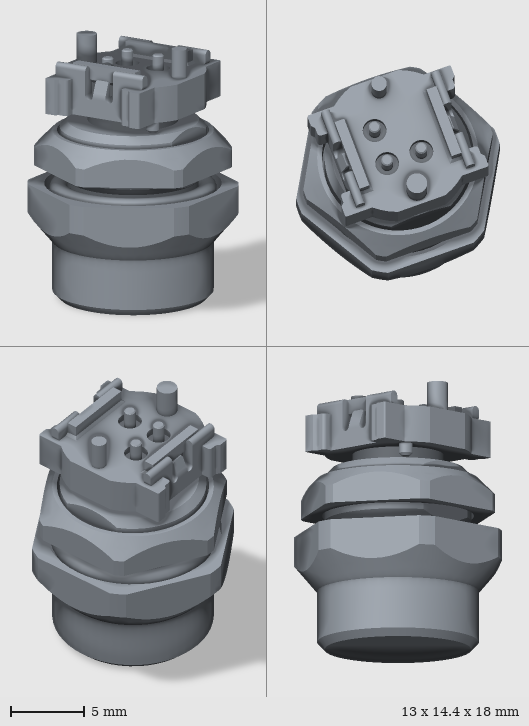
import cadquery as cq
import math

total_height = 18.0
flange_bottom_z = 4.0
flange_corner_z = 6.0
flange_top_z = 8.0
thread_start_z = 8.85
barrel_top_z = 12.5
block_bottom_z = 13.5
block_top_z = 16.0
clip_top_z = 16.95

collar_radius = 5.5
collar_chamfer = 0.5
flange_across_flats = 13.0
flange_corner_radius = 7.2
barrel_radius = 5.0
barrel_flat_x = 4.52
barrel_chamfer = 0.5
neck_below_thread_radius = 4.48
groove_outer_radius = 6.05

seal_section_radius = 0.61
seal_protrusion = 0.27
seal_mean_radius = neck_below_thread_radius + seal_section_radius
seal_z = flange_top_z + seal_protrusion - seal_section_radius
seal_groove_floor_z = seal_z - seal_section_radius

nut_across_flats = 12.02
nut_corner_radius = 6.75
nut_bottom_z = 9.25
nut_height = 2.5
nut_top_radius = 5.5
nut_bore_clearance = 0.18
nut_top_z = nut_bottom_z + nut_height

neck_radius = 3.1
block_radius = 5.0
block_half_width = 4.7
tab_half_width = 3.8
tab_half_length = 5.2
tab_corner_radius = 0.13
step_half_length = 4.99
step_outer_x = 3.02
step_inner_x = 2.79
notch_half_width = 2.16
notch_corner_radius = 0.23

clip_outer_y = 4.3
clip_thickness = 0.61
clip_half_width = 3.51
clip_end_radius = 0.36
clip_end_tangent_z = 16.24
clip_inner_y = clip_outer_y - clip_thickness

ridge_inner_y = 2.99
ridge_half_width = 2.5
ridge_foot_flare = 0.22
ridge_foot_height = 0.16

window_half_width = 1.12
window_bottom_z = 14.69
tongue_half_width = 0.5
tongue_top_z = 16.07
tongue_corner_radius = 0.18
tongue_back_drop = 0.13
tongue_crest_y = 3.89
tongue_knee_y = 4.2
tongue_knee_z = 15.28
tongue_root_z = 14.81
undercut_top_z = 15.97
undercut_depth = 0.23

peg_radius = 0.47
peg_bottom_z = 12.65
peg_chamfer = 0.18
peg_positions = [(-3.28, 2.61), (3.28, -2.61)]

post_x = 3.75
left_post_radius = 0.7
right_post_radius = 0.52

contact_radius = 0.4
contact_chamfer = 0.09
contact_offset = 1.25
contact_positions = [(-contact_offset, contact_offset), (contact_offset, contact_offset),
                     (-contact_offset, -contact_offset)]
contact_well_radius = 0.81
contact_well_depth = 0.5
contact_well_floor_z = block_top_z - contact_well_depth
contact_bottom_z = block_bottom_z


def hexagon_prism(across_flats, bottom_z, top_z):
    """Hexagonal prism with two of its flats facing -X and +X."""
    half_sector = 30
    across_corners = across_flats / math.cos(math.radians(half_sector))
    prism = cq.Workplane("XY").polygon(6, across_corners).extrude(top_z - bottom_z)
    return prism.rotate((0, 0, 0), (0, 0, 1), half_sector).translate((0, 0, bottom_z))


def turned(points):
    """Solid of revolution about Z from (radius, height) points."""
    return cq.Workplane("XZ").polyline(points).close().revolve(360, (0, 0, 0), (0, 1, 0))


def cylinder(radius, bottom_z, top_z, x=0, y=0):
    return cq.Workplane("XY", origin=(x, y, bottom_z)).circle(radius).extrude(top_z - bottom_z)


def make_seal_ring():
    section = cq.Workplane("XZ").center(seal_mean_radius, seal_z).circle(seal_section_radius)
    return section.revolve(360, (-seal_mean_radius, 0, 0), (-seal_mean_radius, 1, 0))


def make_flange():
    envelope = turned([
        (0, flange_bottom_z),
        (collar_radius, flange_bottom_z),
        (flange_corner_radius, flange_corner_z),
        (flange_corner_radius, flange_top_z),
        (0, flange_top_z),
    ])
    return hexagon_prism(flange_across_flats, flange_bottom_z, flange_top_z).intersect(envelope)


def make_barrel():
    relief = barrel_radius - neck_below_thread_radius
    barrel = turned([
        (0, seal_groove_floor_z),
        (neck_below_thread_radius, seal_groove_floor_z),
        (neck_below_thread_radius, thread_start_z - relief),
        (barrel_radius, thread_start_z),
        (barrel_radius, barrel_top_z - barrel_chamfer),
        (barrel_radius - barrel_chamfer, barrel_top_z),
        (0, barrel_top_z),
    ])
    between_flats = cq.Workplane("XY").box(2 * barrel_flat_x, 2 * barrel_radius, 2 * total_height)
    return barrel.intersect(between_flats)


def make_housing():
    collar = cylinder(collar_radius, 0, flange_bottom_z).faces("<Z").chamfer(collar_chamfer)
    groove = cylinder(groove_outer_radius, seal_groove_floor_z, flange_top_z)
    return collar.union(make_flange()).cut(groove).union(make_barrel())


def make_nut():
    """Hexagonal nut with a conical top and a plain bore."""
    cone_height = nut_corner_radius - nut_top_radius
    envelope = turned([
        (0, nut_bottom_z),
        (nut_corner_radius, nut_bottom_z),
        (nut_corner_radius, nut_top_z - cone_height),
        (nut_top_radius, nut_top_z),
        (0, nut_top_z),
    ])
    bore = cylinder(barrel_radius + nut_bore_clearance, nut_bottom_z, nut_top_z)
    hexagon = hexagon_prism(nut_across_flats, nut_bottom_z, nut_top_z)
    return hexagon.intersect(envelope).cut(bore)


def make_block():
    """Plate with side flats, four corner tabs and a notch between the tabs at each end."""
    height = block_top_z - block_bottom_z
    base = cq.Workplane("XY", origin=(0, 0, block_bottom_z))
    body = base.circle(block_radius).extrude(height)
    body = body.intersect(base.rect(2 * block_half_width, 2 * block_radius).extrude(height))
    tabs = base.rect(2 * tab_half_width, 2 * tab_half_length).extrude(height)
    block = body.union(tabs.edges("|Z").fillet(tab_corner_radius))
    notch = (
        base.moveTo(-step_outer_x, -tab_half_length)
        .lineTo(-step_inner_x, -step_half_length)
        .lineTo(-notch_half_width - notch_corner_radius, -step_half_length)
        .radiusArc((-notch_half_width, -step_half_length + notch_corner_radius), -notch_corner_radius)
        .lineTo(-notch_half_width, -clip_outer_y)
        .lineTo(notch_half_width, -clip_outer_y)
        .lineTo(notch_half_width, -step_half_length + notch_corner_radius)
        .radiusArc((notch_half_width + notch_corner_radius, -step_half_length), -notch_corner_radius)
        .lineTo(step_inner_x, -step_half_length)
        .lineTo(step_outer_x, -tab_half_length)
        .close()
        .extrude(height)
    )
    return block.cut(notch).cut(notch.mirror("XZ"))


def make_clip_bar():
    """Upright bar with a fully rounded top and rounded lower ends that run into the block."""
    bottom_z = clip_end_tangent_z - clip_end_radius
    section = (
        cq.Workplane("YZ", origin=(-clip_half_width, 0, 0))
        .moveTo(-clip_outer_y, bottom_z)
        .lineTo(-clip_inner_y, bottom_z)
        .lineTo(-clip_inner_y, clip_top_z - clip_thickness / 2)
        .threePointArc(
            (-(clip_outer_y + clip_inner_y) / 2, clip_top_z),
            (-clip_outer_y, clip_top_z - clip_thickness / 2),
        )
        .close()
        .extrude(2 * clip_half_width)
    )
    return section.edges("|Y and <Z").fillet(clip_end_radius)


def make_ridge():
    """Backing rib behind the clip bar, with a flared foot."""
    depth = clip_inner_y - ridge_inner_y
    middle_y = -(clip_inner_y + ridge_inner_y) / 2
    base = cq.Workplane("XY", origin=(0, middle_y, block_top_z))
    rib = base.rect(2 * ridge_half_width, depth).extrude(clip_top_z - block_top_z)
    flare_angle = math.degrees(math.atan(ridge_foot_flare / ridge_foot_height))
    foot = base.rect(2 * (ridge_half_width + ridge_foot_flare), depth + 2 * ridge_foot_flare)
    return rib.union(foot.extrude(ridge_foot_height, taper=flare_angle))


def make_window():
    """Opening through the clip bar with an undercut below the ridge."""
    back_y = clip_inner_y - undercut_depth
    depth = clip_outer_y - back_y
    opening = (
        cq.Workplane("YZ", origin=(-window_half_width, 0, 0))
        .moveTo(-clip_outer_y, window_bottom_z)
        .lineTo(-back_y, window_bottom_z)
        .lineTo(-back_y, undercut_top_z - undercut_depth)
        .lineTo(-clip_inner_y, undercut_top_z)
        .lineTo(-clip_inner_y, clip_top_z)
        .lineTo(-clip_outer_y, clip_top_z)
        .close()
        .extrude(2 * window_half_width)
    )
    round_radius = (window_half_width - tongue_half_width) / 2
    round_z = window_bottom_z + round_radius
    face = cq.Workplane("XZ", origin=(0, -back_y, 0))
    outline = face.center(0, (round_z + clip_top_z) / 2)
    outline = outline.rect(2 * window_half_width, clip_top_z - round_z).extrude(depth)
    tongue_space = face.center(0, (window_bottom_z + round_z) / 2)
    tongue_space = tongue_space.rect(2 * tongue_half_width, round_radius).extrude(depth)
    outline = outline.union(tongue_space)
    for side in (-1, 1):
        round_x = side * (tongue_half_width + round_radius)
        end = face.center(round_x, round_z).circle(round_radius).extrude(depth)
        outline = outline.union(end)
    return opening.intersect(outline)


def make_tongue():
    """Latch tongue with a sloping front, standing in the window."""
    profile = (
        cq.Workplane("YZ", origin=(-tongue_half_width, 0, 0))
        .moveTo(-clip_inner_y, window_bottom_z)
        .lineTo(-clip_outer_y, window_bottom_z)
        .lineTo(-clip_outer_y, tongue_root_z)
        .tangentArcPoint((-tongue_knee_y, tongue_knee_z), relative=False)
        .lineTo(-tongue_crest_y, tongue_top_z)
        .lineTo(-clip_inner_y, tongue_top_z - tongue_back_drop)
        .close()
        .extrude(2 * tongue_half_width)
    )
    height = tongue_top_z - window_bottom_z
    outline = (
        cq.Workplane("XY", origin=(0, -clip_outer_y, window_bottom_z))
        .rect(2 * tongue_half_width, 2 * clip_outer_y)
        .extrude(height)
        .edges("|Y and >Z")
        .fillet(tongue_corner_radius)
    )
    return profile.intersect(outline)


def make_peg(x, y):
    return cylinder(peg_radius, peg_bottom_z, block_bottom_z, x, y).faces("<Z").chamfer(peg_chamfer)


def make_contact(x, y):
    pin = cylinder(contact_radius, contact_bottom_z, clip_top_z, x, y)
    return pin.faces(">Z").chamfer(contact_chamfer)


def make_insert(contacts):
    insert = make_block().union(cylinder(neck_radius, barrel_top_z, block_bottom_z))
    clip = make_clip_bar().union(make_ridge())
    window = make_window()
    tongue = make_tongue()
    insert = insert.union(clip).cut(window).union(tongue)
    insert = insert.union(clip.mirror("XZ")).cut(window.mirror("XZ")).union(tongue.mirror("XZ"))
    insert = insert.union(cylinder(left_post_radius, block_top_z, total_height, -post_x))
    insert = insert.union(cylinder(right_post_radius, block_top_z, total_height, post_x))
    for x, y in peg_positions:
        insert = insert.union(make_peg(x, y))
    for x, y in contact_positions:
        insert = insert.cut(cylinder(contact_well_radius, contact_well_floor_z, block_top_z, x, y))
    for contact in contacts:
        insert = insert.cut(contact)
    return insert


seal_ring = make_seal_ring()
housing = make_housing()
nut = make_nut()
contacts = [make_contact(x, y) for x, y in contact_positions]
insert = make_insert(contacts)

result = cq.Compound.makeCompound([
    housing.val(),
    seal_ring.val(),
    nut.val(),
    insert.val(),
    *[contact.val() for contact in contacts],
])